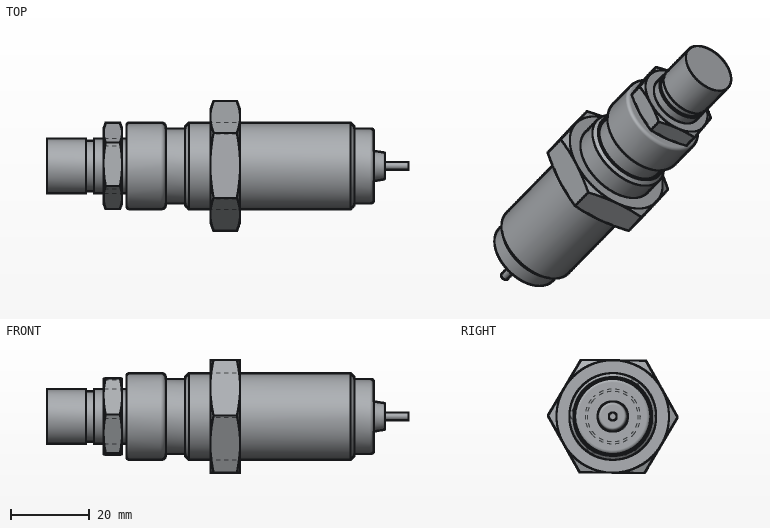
import cadquery as cq
import math

TOTAL_LENGTH = 92.0
X_START = -TOTAL_LENGTH / 2

HEAD_RADIUS = 7.0
HEAD_LENGTH = 20.2
HEAD_GROOVE_RADIUS = 6.4
HEAD_GROOVE_START = 10.0
HEAD_GROOVE_WIDTH = 1.9

HOUSING_RADIUS = 11.0
HOUSING_NECK_RADIUS = 9.6
COLLAR_LENGTH = 10.0
COLLAR_FRONT_FILLET = 0.8
COLLAR_REAR_FILLET = 1.2
NECK_LENGTH = 4.9
BARREL_CHAMFER = 1.0
BARREL_LENGTH = 43.1
CAP_LENGTH = 5.0
CAP_FILLET = 0.9

OUTLET_BASE_RADIUS = 3.9
OUTLET_TIP_RADIUS = 3.4
OUTLET_LENGTH = 2.85
OUTLET_FILLET = 0.55
CABLE_RADIUS = 1.0

SMALL_NUT_START = 14.4
SMALL_NUT_WIDTH = 4.7
SMALL_NUT_FLATS = 19.0
SMALL_NUT_TURN_ANGLE = -2.5

LARGE_NUT_START = 41.6
LARGE_NUT_WIDTH = 7.5
LARGE_NUT_FLATS = 28.6
LARGE_NUT_TURN_ANGLE = -0.7

NUT_CHAMFER_ANGLE = 20.0

COLLAR_END = HEAD_LENGTH + COLLAR_LENGTH
BARREL_START = COLLAR_END + NECK_LENGTH
BARREL_END = BARREL_START + BARREL_LENGTH
CAP_END = BARREL_END + CAP_LENGTH
OUTLET_END = CAP_END + OUTLET_LENGTH


def rod(start, end, radius):
    """Cylinder on the X axis between two stations measured from the front end."""
    return cq.Workplane("YZ", origin=(X_START + start, 0, 0)).circle(radius).extrude(end - start)


def make_sensor_head():
    """Plain cylinder with a relief groove, standing on the front face of the housing."""
    groove_end = HEAD_GROOVE_START + HEAD_GROOVE_WIDTH
    head = rod(0, HEAD_GROOVE_START, HEAD_RADIUS)
    head = head.union(rod(HEAD_GROOVE_START, groove_end, HEAD_GROOVE_RADIUS))
    return head.union(rod(groove_end, HEAD_LENGTH, HEAD_RADIUS))


def make_housing():
    """Front collar, neck, chamfered main barrel and rounded end cap in one piece."""
    collar = rod(HEAD_LENGTH, COLLAR_END, HOUSING_RADIUS)
    collar = collar.faces("<X").edges().fillet(COLLAR_FRONT_FILLET)
    collar = collar.faces(">X").edges().fillet(COLLAR_REAR_FILLET)

    barrel = rod(BARREL_START, BARREL_END, HOUSING_RADIUS)
    barrel = barrel.faces("<X or >X").edges().chamfer(BARREL_CHAMFER)

    neck = rod(COLLAR_END, BARREL_START, HOUSING_NECK_RADIUS)
    cap = rod(BARREL_END, CAP_END, HOUSING_NECK_RADIUS).faces(">X").edges().fillet(CAP_FILLET)
    return collar.union(neck).union(barrel).union(cap)


def make_cable_outlet():
    """Tapered strain relief and the cable leaving it, standing on the end cap."""
    outlet = (
        cq.Workplane("YZ", origin=(X_START + CAP_END, 0, 0))
        .circle(OUTLET_BASE_RADIUS)
        .workplane(offset=OUTLET_LENGTH)
        .circle(OUTLET_TIP_RADIUS)
        .loft()
        .faces(">X")
        .edges()
        .fillet(OUTLET_FILLET)
    )
    return outlet.union(rod(OUTLET_END, TOTAL_LENGTH, CABLE_RADIUS))


def make_nut(start, width, flats, turn, bore_radius):
    """Hexagon nut on the X axis, its corners chamfered on both faces down to the flats circle."""
    corner_radius = flats / math.sqrt(3)
    face_radius = flats / 2
    chamfer_depth = (corner_radius - face_radius) * math.tan(math.radians(NUT_CHAMFER_ANGLE))
    front = X_START + start
    back = front + width
    hexagon = (
        cq.Workplane("YZ", origin=(front, 0, 0))
        .polygon(6, 2 * corner_radius)
        .extrude(width)
        .rotate((0, 0, 0), (1, 0, 0), turn)
    )
    chamfer_envelope = (
        cq.Workplane("XY")
        .moveTo(front, 0)
        .lineTo(front, face_radius)
        .lineTo(front + chamfer_depth, corner_radius)
        .lineTo(back - chamfer_depth, corner_radius)
        .lineTo(back, face_radius)
        .lineTo(back, 0)
        .close()
        .revolve(360, (0, 0, 0), (1, 0, 0))
    )
    bore = rod(start, start + width, bore_radius)
    return hexagon.intersect(chamfer_envelope).cut(bore)


sensor_head = make_sensor_head()
housing = make_housing()
cable_outlet = make_cable_outlet()
small_nut = make_nut(
    SMALL_NUT_START, SMALL_NUT_WIDTH, SMALL_NUT_FLATS, SMALL_NUT_TURN_ANGLE, HEAD_RADIUS
)
large_nut = make_nut(
    LARGE_NUT_START, LARGE_NUT_WIDTH, LARGE_NUT_FLATS, LARGE_NUT_TURN_ANGLE, HOUSING_RADIUS
)

result = cq.Compound.makeCompound(
    [sensor_head.val(), housing.val(), cable_outlet.val(), small_nut.val(), large_nut.val()]
)